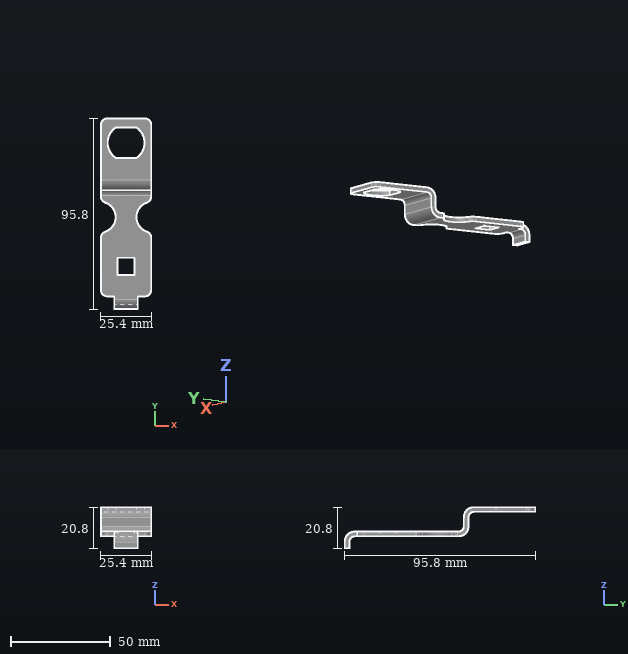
import cadquery as cq
import math

length = 95.8
width = 25.4
thickness = 2.5
inner_bend = 2.6
outer_bend = inner_bend + thickness
step_height = 12.3
corner_radius = 3.35

wall_front = 59.8
body_front = 6.3
tab_width = 11.9
tab_drop = 8.5

neck_width = 10.5
neck_y = 46.2
notch_radius = 7.7

round_hole_diameter = 18.4
round_hole_flats = 15.2
round_hole_y = 83.5
square_hole_size = 8.4
square_hole_y = 21.45

wall_back = wall_front + thickness


def polar(center, radius, degrees):
    """Point on a circle at an angle from its first axis."""
    angle = math.radians(degrees)
    return (center[0] + radius * math.cos(angle), center[1] + radius * math.sin(angle))


def bent_strip():
    """Side profile of the sheet, with all three bends, extruded over the full width."""
    tab_center = (outer_bend, -outer_bend)
    lower_center = (wall_front - inner_bend, inner_bend)
    upper_center = (wall_front + outer_bend, step_height - outer_bend)
    profile = (
        cq.Workplane("YZ")
        .moveTo(0, -tab_drop)
        .lineTo(0, -outer_bend)
        .threePointArc(polar(tab_center, outer_bend, 135), (outer_bend, 0))
        .lineTo(lower_center[0], 0)
        .threePointArc(polar(lower_center, inner_bend, -45), (wall_front, inner_bend))
        .lineTo(wall_front, upper_center[1])
        .threePointArc(polar(upper_center, outer_bend, 135), (upper_center[0], step_height))
        .lineTo(length, step_height)
        .lineTo(length, step_height - thickness)
        .lineTo(upper_center[0], step_height - thickness)
        .threePointArc(polar(upper_center, inner_bend, 135), (wall_back, upper_center[1]))
        .lineTo(wall_back, inner_bend)
        .threePointArc(polar(lower_center, outer_bend, -45), (lower_center[0], -thickness))
        .lineTo(outer_bend, -thickness)
        .threePointArc(polar(tab_center, inner_bend, 135), (thickness, -outer_bend))
        .lineTo(thickness, -tab_drop)
        .close()
    )
    return profile.extrude(width / 2, both=True)


def upright_prism(sketch):
    """Extrude a plan outline through the whole height of the part."""
    return sketch.extrude(step_height + tab_drop)


def plan():
    return cq.Workplane("XY", origin=(0, 0, -tab_drop))


def plan_outline():
    """Plan shape: rounded plate with the narrow tab at its front."""
    body_length = length - body_front
    body = upright_prism(plan().center(0, body_front + body_length / 2).rect(width, body_length))
    body = body.edges("|Z").fillet(corner_radius)
    tab_length = body_front + corner_radius
    tab = upright_prism(plan().center(0, tab_length / 2).rect(tab_width, tab_length))
    return body.union(tab)


def neck_notch(side):
    """Round side notch whose corners blend into the straight plate edge."""
    edge = width / 2
    notch_center = neck_width / 2 + notch_radius
    blend_center = edge - corner_radius
    reach = notch_radius + corner_radius
    blend_y = math.sqrt(reach**2 - (notch_center - blend_center) ** 2)
    blend_angle = math.degrees(math.atan2(blend_y, notch_center - blend_center))
    upper = (blend_center, blend_y)
    tangent = polar(upper, corner_radius, -blend_angle)
    middle = polar(upper, corner_radius, -blend_angle / 2)

    def place(point, end=1):
        return (side * point[0], neck_y + end * point[1])

    return upright_prism(
        plan()
        .moveTo(*place((edge, blend_y)))
        .threePointArc(place(middle), place(tangent))
        .threePointArc(place((neck_width / 2, 0)), place(tangent, -1))
        .threePointArc(place(middle, -1), place((edge, blend_y), -1))
        .close()
    )


def round_hole():
    """Round hole with two flats facing along Y."""
    circle = upright_prism(plan().center(0, round_hole_y).circle(round_hole_diameter / 2))
    flats = upright_prism(plan().center(0, round_hole_y).rect(round_hole_diameter, round_hole_flats))
    return circle.intersect(flats)


def square_hole():
    return upright_prism(plan().center(0, square_hole_y).rect(square_hole_size, square_hole_size))


result = bent_strip().intersect(plan_outline())
for side in (-1, 1):
    result = result.cut(neck_notch(side))
result = result.cut(round_hole()).cut(square_hole())